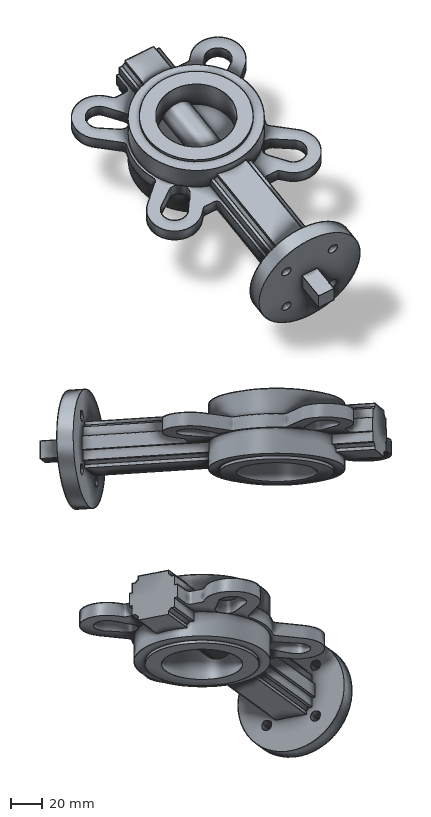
import cadquery as cq
import math


ring_radius = 43.7
ring_height = 42.5
face_radius = 36.5
face_height = 46.5
bore_radius = 26.0

plate_thickness = 9.0
plate_radius = 45.5
plate_fillet = 3.0
pad_length = 106.6
pad_width = 60.5
lug_offset = 45.0
lug_distance = lug_offset * math.sqrt(2)
lug_radius = 18.0
lug_root_radius = 15.2
slot_outer_radius = 9.0
slot_inner_radius = 7.0
slot_inner_offset = 35.5
slot_inner_distance = slot_inner_offset * math.sqrt(2)

neck_start = -68.3
neck_size = 30.5
neck_notch = 4.3
neck_notch_chamfer = 2.0
neck_rib_width = 34.5

flange_thickness = 11.0
flange_radius = 38.3
bolt_circle_radius = 24.9
bolt_hole_diameter = 7.0
stem_length = 20.0
stem_size = 11.6
overall_length = 224.0
stem_end = neck_start + overall_length
flange_outer = stem_end - stem_length
neck_end = flange_outer - flange_thickness
neck_length = neck_end - neck_start

disc_thickness = 5.5
hub_radius = 11.2

diagonals = [45, 135, 225, 315]


def centred_cylinder(radius, height):
    return cq.Workplane("XY").circle(radius).extrude(height / 2, both=True)


def neck_box(width):
    """Bar of plate thickness and the given width, running the length of the neck."""
    bar = cq.Workplane("XY").box(neck_length, width, plate_thickness)
    return bar.translate(((neck_start + neck_end) / 2, 0, 0))


def tapered_slab(inner, inner_radius, outer, outer_radius, angle):
    """Plate-thick slab along one diagonal: two round ends joined by their common tangents.

    The ends are centred at the distances inner and outer from the bore axis.
    """
    taper = math.asin((outer_radius - inner_radius) / (outer - inner))

    def tangent_point(centre, radius, side):
        return (centre - radius * math.sin(taper), side * radius * math.cos(taper))

    slab = (
        cq.Workplane("XY")
        .moveTo(*tangent_point(outer, outer_radius, -1))
        .threePointArc((outer + outer_radius, 0), tangent_point(outer, outer_radius, 1))
        .lineTo(*tangent_point(inner, inner_radius, 1))
        .threePointArc((inner - inner_radius, 0), tangent_point(inner, inner_radius, -1))
        .close()
        .extrude(plate_thickness / 2, both=True)
    )
    return slab.rotate((0, 0, 0), (0, 0, 1), angle)


def lug(angle):
    return tapered_slab(0, lug_root_radius, lug_distance, lug_radius, angle)


def lug_slot(angle):
    return tapered_slab(slot_inner_distance, slot_inner_radius, lug_distance, slot_outer_radius, angle)


def lug_plate():
    plate = centred_cylinder(plate_radius, plate_thickness)
    plate = plate.union(cq.Workplane("XY").box(pad_length, pad_width, plate_thickness))
    plate = plate.union(neck_box(neck_rib_width))
    for angle in diagonals:
        plate = plate.union(lug(angle))

    def is_inside_corner(edge):
        return math.hypot(edge.Center().x, edge.Center().y) < lug_distance

    return plate.edges("|Z").filter(is_inside_corner).fillet(plate_fillet)


def neck():
    """Square bar whose long edges carry a notch with a chamfered inner corner."""
    side = neck_size / 2
    shoulder = side - neck_notch
    chamfer_end = shoulder + neck_notch_chamfer
    corner = [(shoulder, side), (shoulder, chamfer_end), (chamfer_end, shoulder), (side, shoulder)]
    upper_right = corner[::-1]
    upper_left = [(-y, z) for y, z in corner]
    lower_left = [(-y, -z) for y, z in upper_right]
    lower_right = [(y, -z) for y, z in corner]
    outline = upper_right + upper_left + lower_left + lower_right
    return cq.Workplane("YZ", origin=(neck_start, 0, 0)).polyline(outline).close().extrude(neck_length)


def flange():
    return (
        cq.Workplane("YZ", origin=(neck_end, 0, 0))
        .circle(flange_radius)
        .extrude(flange_thickness)
        .faces(">X")
        .workplane()
        .polarArray(bolt_circle_radius, diagonals[0], 360, len(diagonals))
        .hole(bolt_hole_diameter)
    )


def stem():
    section = cq.Workplane("YZ", origin=(flange_outer, 0, 0)).rect(stem_size, stem_size)
    return section.extrude(stem_length)


def make_housing():
    body = centred_cylinder(ring_radius, ring_height)
    body = body.union(centred_cylinder(face_radius, face_height))
    for feature in (lug_plate(), neck(), flange(), stem()):
        body = body.union(feature)
    for angle in diagonals:
        body = body.cut(lug_slot(angle))
    return body.cut(centred_cylinder(bore_radius, face_height))


def make_disc():
    """Closed disc with a round hub along X; its rim and hub ends lie on a sphere that fits the bore."""
    plate = centred_cylinder(bore_radius, disc_thickness)
    hub = cq.Workplane("YZ").circle(hub_radius).extrude(bore_radius, both=True)
    return plate.union(hub).intersect(cq.Workplane("XY").sphere(bore_radius))


housing = make_housing()
disc = make_disc()

result = cq.Compound.makeCompound([housing.val(), disc.val()])